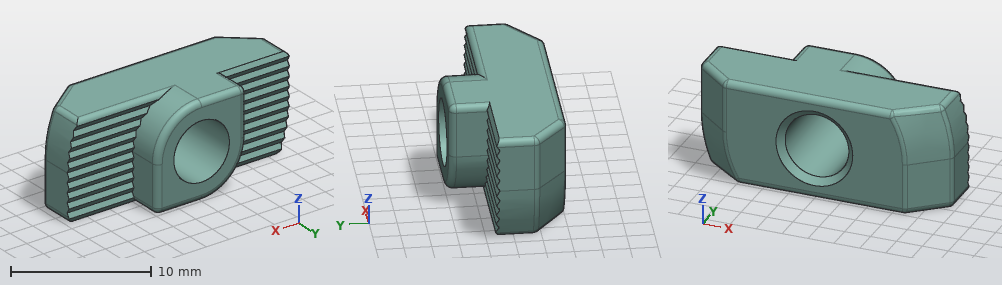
import cadquery as cq
import math

length = 19.5
width = 8.0
half_length = length / 2
half_width = width / 2
front_y = -half_width
back_y = half_width

shoulder_y = 1.3
bevel_start_y = -1.65
front_half_length = 6.98
edge_radius = 0.5

hole_diameter = 4.91
hole_chamfer = 0.5

tooth_count = 10
tooth_depth = 0.23
tooth_pitch = width / tooth_count

neck_root_y = shoulder_y - edge_radius

tolerance = 0.0002


def head_profile():
    """Half section of the head, from the Y axis out to +X."""
    return (
        cq.Workplane("XY")
        .moveTo(0, front_y)
        .lineTo(front_half_length, front_y)
        .lineTo(half_length, bevel_start_y)
        .lineTo(half_length, shoulder_y)
        .lineTo(0, shoulder_y)
        .close()
    )


def head_half():
    """The +X half: a round end above the XY plane and a straight end below it."""
    straight_end = head_profile().extrude(-half_width)
    round_end = head_profile().revolve(90, (0, 0, 0), (0, -1, 0))
    upper_space = cq.Workplane("XY").box(
        length, length, half_width, centered=(True, True, False)
    )
    return straight_end.union(round_end.intersect(upper_space))


def sharp_head():
    """Two identical halves, one turned half a turn about Y from the other."""
    half = head_half()
    return half.union(half.rotate((0, 0, 0), (0, 1, 0), 180)).clean()


def at_height(edge, height):
    """True if the middle of the edge lies at this Z."""
    return abs(edge.Center().z - height) < tolerance


def on_shoulder(edge):
    """True if the edge borders the back face of the head."""
    return abs(edge.Center().y - shoulder_y) < tolerance


def round_edges(body, round_upper_shoulder):
    """Round all outer edges; only the upper edge of the shoulder face may be rounded."""
    chosen = []
    for edge in body.edges().vals():
        if at_height(edge, 0):
            continue
        if not on_shoulder(edge) or (round_upper_shoulder and at_height(edge, half_width)):
            chosen.append(edge)
    return body.newObject(chosen).fillet(edge_radius)


def make_head():
    """The +X arm has a rounded upper shoulder edge and the -X arm a sharp one."""
    sharp = sharp_head()
    right_space = cq.Workplane("XY").box(
        length, length, length, centered=(False, True, True)
    )
    right_arm = round_edges(sharp, True).intersect(right_space)
    left_arm = round_edges(sharp, False).cut(right_space)
    return left_arm.union(right_arm)


def serration_cutter(arm_length, top_z):
    """Triangular grooves along one arm, with plain shoulder above top_z."""
    grooves = cq.Workplane("YZ")
    for index in range(tooth_count + 1):
        valley_z = -half_width + index * tooth_pitch
        grooves = (
            grooves.moveTo(shoulder_y - tooth_depth, valley_z)
            .lineTo(shoulder_y, valley_z + tooth_pitch / 2)
            .lineTo(shoulder_y, valley_z - tooth_pitch / 2)
            .close()
        )
    plain_space = cq.Workplane("XY", origin=(0, 0, top_z)).box(
        2 * length, length, length, centered=(True, True, False)
    )
    return grooves.extrude(arm_length).cut(plain_space)


def make_neck():
    """Square neck with two opposite quarter-round corners and a rounded back."""
    arc_middle = half_width * math.sqrt(0.5)
    neck = (
        cq.Workplane("XZ", origin=(0, back_y, 0))
        .moveTo(-half_width, half_width)
        .lineTo(0, half_width)
        .threePointArc((arc_middle, arc_middle), (half_width, 0))
        .lineTo(half_width, -half_width)
        .lineTo(0, -half_width)
        .threePointArc((-arc_middle, -arc_middle), (-half_width, 0))
        .close()
        .extrude(back_y - neck_root_y)
    )
    square_corners = cq.selectors.SumSelector(
        cq.selectors.NearestToPointSelector((-half_width, back_y / 2, half_width)),
        cq.selectors.NearestToPointSelector((half_width, back_y / 2, -half_width)),
    )
    neck = neck.edges("|Y").edges(square_corners).fillet(edge_radius)
    return neck.faces(">Y").edges().fillet(edge_radius)


def make_hole():
    """Through hole along Y with a conical entry on the front face."""
    hole_radius = hole_diameter / 2
    return (
        cq.Workplane("XY")
        .moveTo(0, front_y)
        .lineTo(hole_radius + hole_chamfer, front_y)
        .lineTo(hole_radius, front_y + hole_chamfer)
        .lineTo(hole_radius, back_y)
        .lineTo(0, back_y)
        .close()
        .revolve(360, (0, 0, 0), (0, 1, 0))
    )


left_grooves = serration_cutter(-half_length, half_width)
right_grooves = serration_cutter(half_length, half_width - tooth_pitch / 2)

head = make_head().cut(left_grooves).cut(right_grooves)
result = head.union(make_neck()).cut(make_hole())